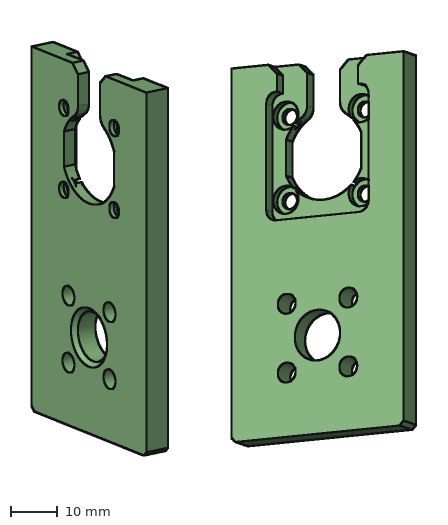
import cadquery as cq
import math

width = 42.0
thickness = 5.7
height = 81.5
bottom_chamfer = 1.0
top = height / 2
front_y = -thickness / 2

motor_z = 20.7
opening_radius = 9.95
flat_half_width = 9.1
slot_half_width = 4.0
slot_mouth_chamfer = 2.0
neck_radius = 3.0
motor_hole_spacing = 18.3
motor_hole_diameter = 3.5
motor_hole_front_depth = 1.2
motor_counterbore_diameter = 6.1

pocket_depth = 2.8
pocket_width = 24.9
pocket_height = 28.0
pocket_corner_radius = 2.45
channel_half_width = 9.9
channel_mouth_chamfer = 2.1

bore_z = -19.2
bore_diameter = 11.0
countersink_diameter = 13.1
countersink_depth = (countersink_diameter - bore_diameter) / 2
bolt_spacing = 15.0
bolt_hole_diameter = 4.3


def front_plane():
    """XZ sketch plane on the front face; positive extrusion points out of the plate."""
    return cq.Workplane("XZ", origin=(0, front_y, 0))


def mouth_profile(plane, half_width, chamfer, bottom_z):
    """Slot open at the top edge, flared by a chamfer on each side."""
    flare = half_width + chamfer
    return plane.polyline([
        (-half_width, bottom_z),
        (half_width, bottom_z),
        (half_width, top - chamfer),
        (flare, top),
        (-flare, top),
        (-half_width, top - chamfer),
    ]).close()


def hole_square(spacing, diameter, center_z, start_depth=0):
    """Four holes at the corners of a square, running from start_depth to the back face."""
    return (
        front_plane().workplane(offset=-start_depth).center(0, center_z)
        .rect(spacing, spacing, forConstruction=True).vertices()
        .circle(diameter / 2).extrude(start_depth - thickness)
    )


def motor_opening():
    """Through opening whose neck corners are rounded tangent to the slot and the circle."""
    round_x = slot_half_width + neck_radius
    centers_distance = opening_radius + neck_radius
    round_z = motor_z + math.sqrt(centers_distance**2 - round_x**2)
    tangent_x = round_x * opening_radius / centers_distance
    tangent_z = motor_z + (round_z - motor_z) * opening_radius / centers_distance

    slot = mouth_profile(front_plane(), slot_half_width, slot_mouth_chamfer, motor_z).extrude(-thickness)
    circle = front_plane().center(0, motor_z).circle(opening_radius).extrude(-thickness)
    flats = cq.Workplane("XY").box(2 * flat_half_width, thickness, height)
    neck = (
        front_plane()
        .polyline([
            (0, motor_z),
            (tangent_x, tangent_z),
            (round_x, round_z),
            (-round_x, round_z),
            (-tangent_x, tangent_z),
        ]).close().extrude(-thickness)
    )
    for side in (-1, 1):
        corner = front_plane().center(side * round_x, round_z).circle(neck_radius).extrude(-thickness)
        neck = neck.cut(corner)
    return circle.intersect(flats).union(neck).union(slot)


def rear_pocket():
    """Rounded motor recess in the back face, with a narrower channel up to the top edge."""
    pocket_floor = cq.Workplane("XZ", origin=(0, thickness / 2 - pocket_depth, 0))
    recess = (
        pocket_floor.center(0, motor_z)
        .rect(pocket_width, pocket_height).extrude(-pocket_depth)
        .edges("|Y").fillet(pocket_corner_radius)
    )
    channel = mouth_profile(
        pocket_floor, channel_half_width, channel_mouth_chamfer, motor_z
    ).extrude(-pocket_depth)
    return recess.union(channel)


def shaft_bore():
    """Through bore countersunk from the front face."""
    bore = front_plane().center(0, bore_z).circle(bore_diameter / 2).extrude(-thickness)
    countersink = cq.Workplane(cq.Solid.makeCone(
        countersink_diameter / 2,
        bore_diameter / 2,
        countersink_depth,
        pnt=cq.Vector(0, front_y, bore_z),
        dir=cq.Vector(0, 1, 0),
    ))
    return bore.union(countersink)


plate = (
    cq.Workplane("XY").box(width, thickness, height)
    .edges("|Y and <Z").chamfer(bottom_chamfer)
)

result = (
    plate
    .cut(rear_pocket())
    .cut(motor_opening())
    .cut(hole_square(motor_hole_spacing, motor_hole_diameter, motor_z))
    .cut(hole_square(motor_hole_spacing, motor_counterbore_diameter, motor_z, motor_hole_front_depth))
    .cut(shaft_bore())
    .cut(hole_square(bolt_spacing, bolt_hole_diameter, bore_z))
)